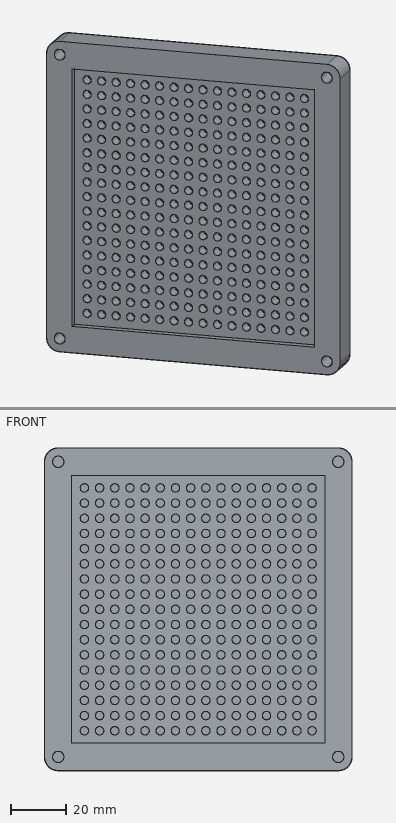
import cadquery as cq

width = 111.5
thickness = 12.0
height = 117.0
corner_radius = 5.0

recess_width = 92.0
recess_height = 97.0
recess_depth = 3.0

grid_columns = 16
grid_rows = 17
grid_pitch = 5.5
grid_hole_diameter = 3.0

corner_hole_diameter = 4.1
corner_hole_spacing_x = width - 2 * corner_radius
corner_hole_spacing_z = height - 2 * corner_radius

back_wall = 3.0
corner_hole_depth = thickness - back_wall
grid_hole_depth = corner_hole_depth - recess_depth

front_y = -thickness / 2
recess_floor_y = front_y + recess_depth


def plane_facing_front(y):
    """Workplane at the given Y; local x is +X, local y is +Z, normal is -Y."""
    return cq.Workplane("XZ", origin=(0, y, 0))


def make_plate():
    plate = cq.Workplane("XY").box(width, thickness, height)
    return plate.edges("|Y").fillet(corner_radius)


def make_recess():
    return plane_facing_front(front_y).rect(recess_width, recess_height).extrude(-recess_depth)


def make_grid_holes():
    return (
        plane_facing_front(recess_floor_y)
        .rarray(grid_pitch, grid_pitch, grid_columns, grid_rows)
        .circle(grid_hole_diameter / 2)
        .extrude(-grid_hole_depth)
    )


def make_corner_holes():
    return (
        plane_facing_front(front_y)
        .rect(corner_hole_spacing_x, corner_hole_spacing_z, forConstruction=True)
        .vertices()
        .circle(corner_hole_diameter / 2)
        .extrude(-corner_hole_depth)
    )


result = make_plate().cut(make_recess()).cut(make_grid_holes()).cut(make_corner_holes())